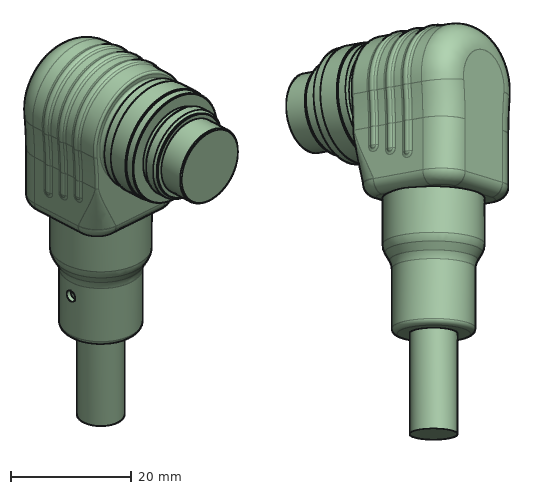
import cadquery as cq
import math


housing_length = 19.8
arch_radius = 10.5
side_half_width = 10.1
side_top_z = -7.3
foot_top_z = -16.1
foot_height = 2.3
foot_round = 2.2
housing_bottom_z = foot_top_z - foot_height
back_round = 5.0
front_round = 0.4
front_corner_round = 4.45
middle_corner_round = 1.45
middle_corner_z = -10.2

rib_first_x = 8.3
rib_pitch = 3.55
rib_first_end_z = -12.6
rib_end_rise = 1.05
rib_count = 3
rib_half_width = 1.05
rib_height = 0.3
rib_root = 0.7

neck_diameter = 17.7
neck_root_round = 0.55
ring_start_x = 21.4
ring_end_x = 28.2
ring_diameter = 19.7
ring_chamfer = 0.15
band_start_x = 22.95
band_end_x = 26.7
band_diameter = 20.0
shank_end_x = 31.75
shank_diameter = 15.0
flange_start_x = 29.0
flange_end_x = 31.5
flange_diameter = 16.0
flange_chamfer = 0.4
tip_end_x = 36.4
tip_diameter = 13.5
tip_chamfer = 0.2

cable_x = 10.5
boot_diameter = 17.0
sleeve_diameter = 14.0
taper_top_z = -27.0
taper_bottom_z = -29.6
taper_round = 2.8
sleeve_bottom_z = -41.5
sleeve_round = 0.9
pin_hole_diameter = 2.0
pin_hole_depth = 1.0
pin_hole_z = -33.1
cable_diameter = 8.0
part_height = 69.5
cable_bottom_z = arch_radius + rib_height - part_height

blend_radius = (side_half_width**2 + side_top_z**2 - arch_radius**2) / (2 * (arch_radius - side_half_width))
blend_center_y = side_half_width + blend_radius
blend_angle = math.atan2(-side_top_z, blend_center_y)
blend_end_y = arch_radius * math.cos(blend_angle)
blend_end_z = -arch_radius * math.sin(blend_angle)
blend_mid_y = blend_center_y - blend_radius * math.cos(blend_angle / 2)
blend_mid_z = side_top_z + blend_radius * math.sin(blend_angle / 2)


def arch_path(x, bottom_z):
    """Open outline of the housing in the plane at x, up one side, over the arch and down the other."""
    return (
        cq.Workplane("YZ", origin=(x, 0, 0))
        .moveTo(-side_half_width, bottom_z)
        .lineTo(-side_half_width, side_top_z)
        .threePointArc((-blend_mid_y, blend_mid_z), (-blend_end_y, blend_end_z))
        .threePointArc((0, arch_radius), (blend_end_y, blend_end_z))
        .threePointArc((blend_mid_y, blend_mid_z), (side_half_width, side_top_z))
        .lineTo(side_half_width, bottom_z)
    )


def corner_section(workplane, radius, side):
    """Corner area left outside a round of the given radius on a vertical front edge."""
    mid = radius * (1 - math.sqrt(0.5))
    return (
        workplane.moveTo(housing_length, side * side_half_width)
        .lineTo(housing_length - radius, side * side_half_width)
        .threePointArc(
            (housing_length - mid, side * (side_half_width - mid)),
            (housing_length, side * (side_half_width - radius)),
        )
        .close()
    )


def growing_round(side):
    """Material removed where the front corner round grows from the arch down to the foot."""
    top = corner_section(cq.Workplane("XY", origin=(0, 0, side_top_z)), front_round, side)
    middle = top.workplane(offset=middle_corner_z - side_top_z)
    middle = corner_section(middle, middle_corner_round, side)
    bottom = middle.workplane(offset=foot_top_z - middle_corner_z)
    return corner_section(bottom, front_corner_round, side).loft()


def make_upper_housing():
    body = arch_path(0, foot_top_z).close().extrude(housing_length)
    body = body.faces("<X").edges("not <Z").fillet(back_round)
    arched_part = cq.selectors.BoxSelector(
        (housing_length / 2, -2 * arch_radius, side_top_z),
        (2 * housing_length, 2 * arch_radius, 2 * arch_radius),
    )
    body = body.faces(">X").edges(arched_part).fillet(front_round)
    return body.cut(growing_round(1)).cut(growing_round(-1))


def make_foot():
    foot = (
        cq.Workplane("XY", origin=(housing_length / 2, 0, housing_bottom_z))
        .rect(housing_length, 2 * side_half_width)
        .extrude(foot_height)
    )
    foot = foot.edges("|Z and <X").fillet(back_round)
    foot = foot.edges("|Z and >X").fillet(front_corner_round)
    return foot.faces("<Z").edges().fillet(foot_round)


def rib_flank_points(side):
    """Points of one rib flank from crown edge to foot, as (across, height above the housing).

    The crown and the hollow flank are arcs of equal radius, tangent halfway down.
    """
    radius = (rib_half_width**2 + rib_height**2) / (4 * rib_height)
    half_turn = math.asin(rib_half_width / 2 / radius) / 2
    bow_across = radius * math.sin(half_turn)
    bow_height = radius * (1 - math.cos(half_turn))
    crown_edge = (side * rib_half_width / 2, rib_height / 2)
    flank_middle = (side * (rib_half_width - bow_across), bow_height)
    foot = (side * rib_half_width, 0)
    crown_middle = (side * bow_across, rib_height - bow_height)
    return crown_middle, crown_edge, flank_middle, foot


def make_rib(x, end_z):
    """Rib that follows the arch from side to side, with a round end on each side."""
    _, left_edge, left_middle, left_foot = rib_flank_points(-1)
    crown_middle, right_edge, right_middle, right_foot = rib_flank_points(1)

    start = cq.Plane(origin=(x, -side_half_width, end_z), xDir=(-1, 0, 0), normal=(0, 0, 1))
    rib = (
        cq.Workplane(start)
        .moveTo(-rib_half_width, -rib_root)
        .lineTo(*left_foot)
        .threePointArc(left_middle, left_edge)
        .threePointArc((0, rib_height), right_edge)
        .threePointArc(right_middle, right_foot)
        .lineTo(rib_half_width, -rib_root)
        .close()
        .sweep(arch_path(x, end_z))
    )
    for side in (-1, 1):
        end_origin = (x, side * side_half_width, end_z)
        end_plane = cq.Plane(origin=end_origin, xDir=(side, 0, 0), normal=(0, 0, 1))
        end = (
            cq.Workplane(end_plane)
            .moveTo(0, -rib_root)
            .lineTo(0, rib_height)
            .threePointArc(crown_middle, right_edge)
            .threePointArc(right_middle, right_foot)
            .lineTo(rib_half_width, -rib_root)
            .close()
            .revolve(360, (0, 0), (0, 1))
        )
        rib = rib.union(end)
    return rib


def disc(start_x, end_x, diameter):
    """Round section of the plug between two positions along X."""
    return cq.Workplane("YZ", origin=(start_x, 0, 0)).circle(diameter / 2).extrude(end_x - start_x)


def neck_root():
    """Hollow round where the neck leaves the front face of the housing."""
    neck_radius = neck_diameter / 2
    mid = neck_root_round * (1 - math.sqrt(0.5))
    return (
        cq.Workplane("XY")
        .moveTo(housing_length, 0)
        .lineTo(housing_length, neck_radius + neck_root_round)
        .threePointArc(
            (housing_length + mid, neck_radius + mid),
            (housing_length + neck_root_round, neck_radius),
        )
        .lineTo(housing_length + neck_root_round, 0)
        .close()
        .revolve(360, (0, 0), (1, 0))
    )


def make_plug():
    core_start_x = housing_length - back_round
    neck = disc(core_start_x, ring_start_x, neck_diameter)
    ring = disc(ring_start_x, ring_end_x, ring_diameter).faces(">X").chamfer(ring_chamfer)
    band = disc(band_start_x, band_end_x, band_diameter).edges().chamfer((band_diameter - ring_diameter) / 2)
    shank = disc(core_start_x, shank_end_x, shank_diameter)
    flange = disc(flange_start_x, flange_end_x, flange_diameter).edges().chamfer(flange_chamfer)
    tip = disc(core_start_x, tip_end_x, tip_diameter).faces(">X").chamfer(tip_chamfer)
    return neck.union(neck_root()).union(ring).union(band).union(shank).union(flange).union(tip)


def make_cable_outlet():
    outlet = (
        cq.Workplane("XZ")
        .moveTo(0, foot_top_z)
        .lineTo(boot_diameter / 2, foot_top_z)
        .lineTo(boot_diameter / 2, taper_top_z)
        .lineTo(sleeve_diameter / 2, taper_bottom_z)
        .lineTo(sleeve_diameter / 2, sleeve_bottom_z)
        .lineTo(0, sleeve_bottom_z)
        .close()
        .revolve(360, (0, 0), (0, 1))
    )
    taper_edges = cq.selectors.BoxSelector(
        (-boot_diameter, -boot_diameter, sleeve_bottom_z / 2 + taper_bottom_z / 2),
        (boot_diameter, boot_diameter, foot_top_z / 2 + taper_top_z / 2),
    )
    outlet = outlet.edges(taper_edges).edges("%CIRCLE").fillet(taper_round)
    outlet = outlet.faces("<Z").edges().fillet(sleeve_round)
    pin_hole = (
        cq.Workplane("XZ", origin=(0, pin_hole_depth - sleeve_diameter / 2, pin_hole_z))
        .circle(pin_hole_diameter / 2)
        .extrude(sleeve_diameter)
    )
    cable = (
        cq.Workplane("XY", origin=(0, 0, cable_bottom_z))
        .circle(cable_diameter / 2)
        .extrude(foot_top_z - cable_bottom_z)
    )
    return outlet.cut(pin_hole).union(cable).translate((cable_x, 0, 0))


result = make_upper_housing().union(make_foot())
for index in range(rib_count):
    rib_x = rib_first_x + index * rib_pitch
    result = result.union(make_rib(rib_x, rib_first_end_z + index * rib_end_rise))
result = result.union(make_plug()).union(make_cable_outlet())